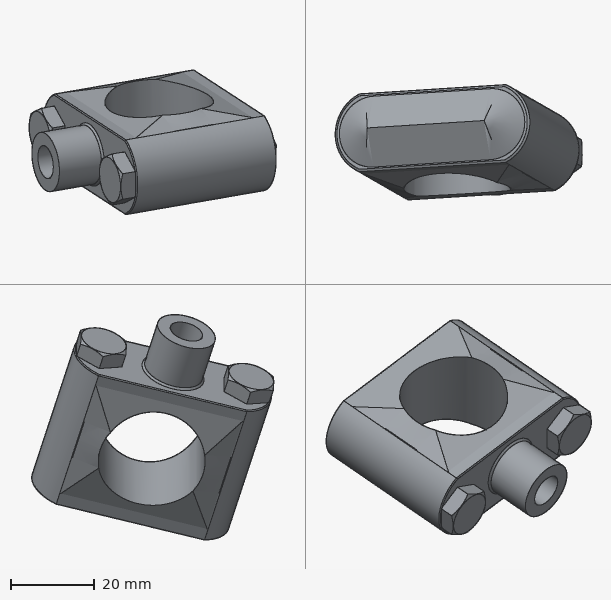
import cadquery as cq
import math

overall_length = 54.45

body_half_width = 24.5
flat_half_width = 18.4
body_half_height = 9.45
body_half_length = 18.75
edge_chamfer = 0.25
rim_length = 0.3
rim_inset = 0.55

bore_radius_x = 12.75
bore_radius_y = 13.0

pad_peak = 11.45
pad_ledge = 0.2
pad_half_width = flat_half_width - pad_ledge
pad_half_length = 15.6
crest_half_length = 5.15

wedge_length = 5.15
wedge_half_height = 9.2
ridge_half_width = 14.7

boss_radius = 7.2
boss_length = overall_length - wedge_length - 2 * body_half_length
boss_flare = 0.5
hole_diameter = 8.0
hole_radius = hole_diameter / 2
hole_depth = boss_length
drill_half_angle = math.radians(59)

hex_across_flats = 11.2
hex_height = 4.0
hex_offset_x = 18.3
hex_top_radius = 5.5
hex_bevel_angle = math.radians(30)


def body_profile(y):
    """Outline of the bar at the given Y: flat top and bottom, round sides."""
    return (
        cq.Workplane("XZ", origin=(0, y, 0))
        .moveTo(-flat_half_width, body_half_height)
        .lineTo(flat_half_width, body_half_height)
        .threePointArc((body_half_width, 0), (flat_half_width, -body_half_height))
        .lineTo(-flat_half_width, -body_half_height)
        .threePointArc((-body_half_width, 0), (-flat_half_width, body_half_height))
        .close()
    )


def make_body():
    """Bar with a fine chamfer in front and a shallow tapered rim behind."""
    bar = body_profile(body_half_length).extrude(2 * body_half_length)
    bar = bar.faces("<Y").edges().chamfer(edge_chamfer)
    taper = math.degrees(math.atan(rim_inset / rim_length))
    rim = body_profile(body_half_length).extrude(-rim_length, taper=taper)
    return bar.union(rim)


def bore_x(y):
    """Half-width of the bore at a distance y from its axis."""
    return bore_radius_x * math.sqrt(1 - (y / bore_radius_y) ** 2)


def make_pad():
    """Four-sided slope up to the crest, with twisted flanks beside the bore."""
    rise = pad_peak - body_half_height
    crest_half_width = bore_x(crest_half_length)
    slopes = (
        cq.Workplane("XY", origin=(0, 0, body_half_height))
        .rect(2 * pad_half_width, 2 * pad_half_length)
        .workplane(offset=rise)
        .rect(2 * crest_half_width, 2 * crest_half_length)
        .loft(ruled=True)
    )
    mid_y = crest_half_length / 2
    flanks = (
        cq.Workplane("XY", origin=(0, 0, body_half_height))
        .moveTo(-pad_half_width, -crest_half_length)
        .lineTo(pad_half_width, -crest_half_length)
        .lineTo(pad_half_width, 0)
        .lineTo(pad_half_width, crest_half_length)
        .lineTo(-pad_half_width, crest_half_length)
        .lineTo(-pad_half_width, 0)
        .close()
        .workplane(offset=rise)
        .moveTo(-crest_half_width, -crest_half_length)
        .lineTo(crest_half_width, -crest_half_length)
        .threePointArc((bore_x(mid_y), -mid_y), (bore_radius_x, 0))
        .threePointArc((bore_x(mid_y), mid_y), (crest_half_width, crest_half_length))
        .lineTo(-crest_half_width, crest_half_length)
        .threePointArc((-bore_x(mid_y), mid_y), (-bore_radius_x, 0))
        .threePointArc((-bore_x(mid_y), -mid_y), (-crest_half_width, -crest_half_length))
        .close()
        .loft(ruled=True)
    )
    return slopes.union(flanks)


def make_wedge():
    """Triangular prism along X with a cone closing each end."""
    prism = (
        cq.Workplane("YZ", origin=(-ridge_half_width, body_half_length, 0))
        .moveTo(0, -wedge_half_height)
        .lineTo(wedge_length, 0)
        .lineTo(0, wedge_half_height)
        .close()
        .extrude(2 * ridge_half_width)
    )
    for x in (-ridge_half_width, ridge_half_width):
        base_center = cq.Vector(x, body_half_length, 0)
        cone = cq.Solid.makeCone(wedge_half_height, 0, wedge_length, base_center, cq.Vector(0, 1, 0))
        prism = prism.union(cq.Workplane(cone))
    return prism


def make_bolt_head(x):
    """Hexagon with corners pointing up and down and a beveled outer face."""
    corner_radius = hex_across_flats / math.sqrt(3)
    hexagon = (
        cq.Workplane("XZ", origin=(x, -body_half_length, 0))
        .transformed(rotate=(0, 0, 90))
        .polygon(6, 2 * corner_radius)
        .extrude(hex_height)
    )
    bevel_drop = (corner_radius - hex_top_radius) * math.tan(hex_bevel_angle)
    envelope = (
        cq.Workplane("XY", origin=(x, -body_half_length, 0))
        .polyline([
            (0, 0),
            (corner_radius, 0),
            (corner_radius, bevel_drop - hex_height),
            (hex_top_radius, -hex_height),
            (0, -hex_height),
        ])
        .close()
        .revolve(360, (0, 0, 0), (0, 1, 0))
    )
    return hexagon.intersect(envelope)


def make_drilled_hole():
    """Blind hole with a conical drill point, opening at the end of the boss."""
    tip_length = hole_radius / math.tan(drill_half_angle)
    return (
        cq.Workplane("XY", origin=(0, -body_half_length - boss_length, 0))
        .polyline([
            (0, 0),
            (hole_radius, 0),
            (hole_radius, hole_depth),
            (0, hole_depth + tip_length),
        ])
        .close()
        .revolve(360, (0, 0, 0), (0, 1, 0))
    )


def make_boss():
    """Round stem whose foot flares into the front face."""
    return (
        cq.Workplane("XY", origin=(0, -body_half_length, 0))
        .polyline([
            (0, 0),
            (boss_radius + boss_flare, 0),
            (boss_radius, -boss_flare),
            (boss_radius, -boss_length),
            (0, -boss_length),
        ])
        .close()
        .revolve(360, (0, 0, 0), (0, 1, 0))
    )


pad = make_pad()
bore = (
    cq.Workplane("XY", origin=(0, 0, -pad_peak))
    .ellipse(bore_radius_x, bore_radius_y)
    .extrude(2 * pad_peak)
)

clamp = make_body().union(make_wedge()).union(pad).union(pad.mirror("XY")).cut(bore)
clamp = clamp.union(make_boss()).cut(make_drilled_hole())
for head_x in (-hex_offset_x, hex_offset_x):
    clamp = clamp.union(make_bolt_head(head_x))

result = clamp